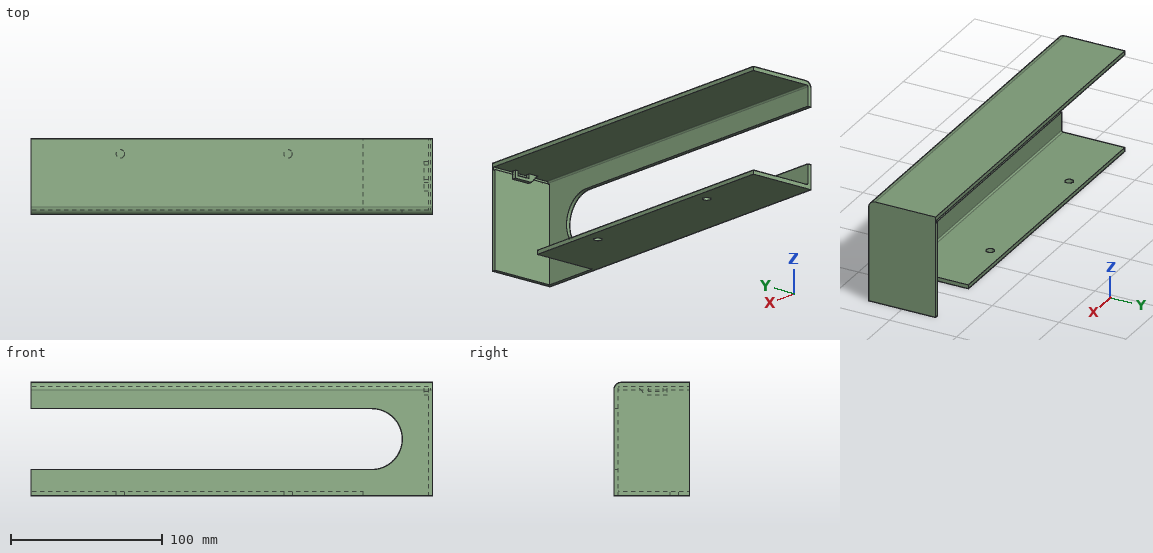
import cadquery as cq

LENGTH = 265
DEPTH = 50.0
HEIGHT = 75.0
SHEET = 3.0

BEND_RADIUS = 5.0
INNER_RADIUS = 1.0

SLOT_WIDTH = 40.0
SLOT_END_X = 245.0

FLOOR_LENGTH = 219.2
HOLE_DIAMETER = 5.5
HOLE_X_POSITIONS = (59.0, 169.5)
HOLE_Y = 40.0

STRIP_DEPTH = SHEET / 2

TAB_BACK_Y = 35.0
TAB_FRONT_Y = 21.2
TAB_DROP = 5.5
NOTCH_BACK_Y = 32.5
NOTCH_FRONT_Y = 23.0
NOTCH_DROP = 3.2

CEILING = HEIGHT - SHEET
END_INNER_X = LENGTH - SHEET


def box(x_range, y_range, z_range):
    """Box spanning the given (low, high) ranges."""
    sizes = [high - low for low, high in (x_range, y_range, z_range)]
    corner = (x_range[0], y_range[0], z_range[0])
    return cq.Workplane("XY").box(*sizes, centered=False).translate(corner)


def make_channel():
    """Front wall and top plate over the full length, with the shorter floor plate."""
    outside = box((0, LENGTH), (0, DEPTH), (0, HEIGHT))
    outside = outside.edges("|X and <Y and >Z").fillet(BEND_RADIUS)
    inside = box((0, LENGTH), (SHEET, DEPTH), (SHEET, CEILING))
    inside = inside.edges("|X and <Y").fillet(INNER_RADIUS)
    beyond_floor = box((FLOOR_LENGTH, LENGTH), (SHEET, DEPTH), (0, HEIGHT / 2))
    return outside.cut(inside).cut(beyond_floor)


def make_end_wall():
    """Wall closing the +X end, thinned from the inside along its top."""
    y_range = (SHEET, DEPTH)
    wall = box((END_INNER_X, LENGTH), y_range, (0, CEILING))
    strip_x_range = (END_INNER_X, END_INNER_X + STRIP_DEPTH)
    return wall.cut(box(strip_x_range, y_range, (HEIGHT - BEND_RADIUS, CEILING)))


def make_tab():
    """Notched tab under the top plate, standing one sheet thickness inside the end wall."""
    tab_x = END_INNER_X - SHEET
    tab = (
        cq.Workplane("YZ", origin=(tab_x, 0, 0))
        .moveTo(TAB_BACK_Y, CEILING)
        .lineTo(TAB_BACK_Y, CEILING - TAB_DROP)
        .lineTo(TAB_FRONT_Y, CEILING - TAB_DROP)
        .lineTo(TAB_FRONT_Y - TAB_DROP, CEILING)
        .close()
        .extrude(SHEET)
    )
    notch_y_range = (NOTCH_FRONT_Y, NOTCH_BACK_Y)
    return tab.cut(box((tab_x, END_INNER_X), notch_y_range, (CEILING - NOTCH_DROP, CEILING)))


def make_slot():
    """Cutter for the front wall slot; half of its length lies beyond the open end."""
    return (
        cq.Workplane("XZ")
        .center(0, HEIGHT / 2)
        .slot2D(2 * SLOT_END_X, SLOT_WIDTH)
        .extrude(-SHEET)
    )


def make_holes():
    """Cutters for the mounting holes through the floor plate."""
    centres = [(x, HOLE_Y) for x in HOLE_X_POSITIONS]
    return cq.Workplane("XY").pushPoints(centres).circle(HOLE_DIAMETER / 2).extrude(SHEET)


body = make_channel().union(make_end_wall()).union(make_tab())
result = body.cut(make_slot()).cut(make_holes())